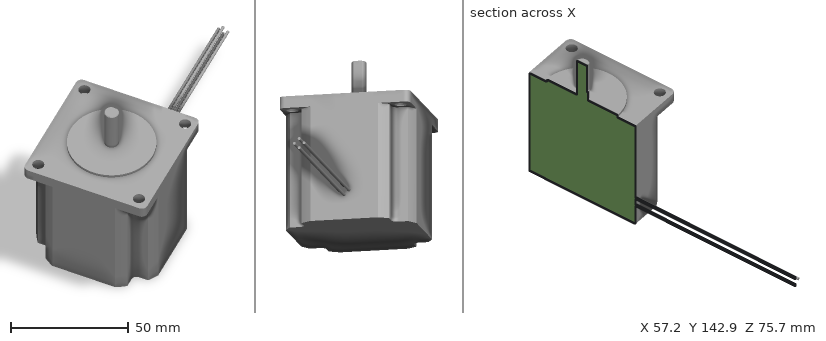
import cadquery as cq
import math


side = 57.2
body_height = 50.2
body_round_diameter = 64.3
flange_top = 55.3
flange_corner_radius = 2.6

notch_wall = 19.1
notch_fillet_radius = 2.5

hole_spacing = 47.2
hole_diameter = 5.1

pilot_diameter = 38.1
pilot_top = 56.6
shaft_diameter = 6.3
shaft_top = 75.7
flat_bottom = 61.0
flat_depth = 0.6
tip_chamfer = 0.3

wire_diameter = 1.27
wire_end = 114.3
wire_center_height = 12.7
wire_offset_x = 2.1
wire_offset_z = 2.0
wire_embed = 1.5


def make_body():
    """Square body with corners turned round and notched for the screws."""
    square = cq.Workplane("XY").rect(side, side).extrude(body_height)
    round_bar = cq.Workplane("XY").circle(body_round_diameter / 2).extrude(body_height)
    body = square.intersect(round_bar)
    notch_size = side / 2
    notch_center = notch_wall + notch_size / 2
    for sx in (-1, 1):
        for sy in (-1, 1):
            notch = (
                cq.Workplane("XY")
                .center(sx * notch_center, sy * notch_center)
                .rect(notch_size, notch_size)
                .extrude(body_height)
                .edges("|Z")
                .fillet(notch_fillet_radius)
            )
            body = body.cut(notch)
    return body


def make_flange():
    """Square mounting plate with rounded corners and four through holes."""
    return (
        cq.Workplane("XY", origin=(0, 0, body_height))
        .rect(side, side)
        .extrude(flange_top - body_height)
        .edges("|Z")
        .fillet(flange_corner_radius)
        .faces(">Z")
        .workplane()
        .rect(hole_spacing, hole_spacing, forConstruction=True)
        .vertices()
        .hole(hole_diameter)
    )


def make_pilot():
    return (
        cq.Workplane("XY", origin=(0, 0, flange_top))
        .circle(pilot_diameter / 2)
        .extrude(pilot_top - flange_top)
    )


def make_shaft():
    """Round shaft with a chamfered tip and a +Y flat that runs out at the tip."""
    radius = shaft_diameter / 2
    shaft = (
        cq.Workplane("XY", origin=(0, 0, pilot_top))
        .circle(radius)
        .extrude(shaft_top - pilot_top)
        .faces(">Z")
        .chamfer(tip_chamfer)
    )
    flat_cut = (
        cq.Workplane("XY", origin=(0, radius - flat_depth / 2, flat_bottom))
        .rect(shaft_diameter, flat_depth)
        .extrude(shaft_top - flat_bottom)
    )
    return shaft.cut(flat_cut)


def make_wire(index):
    """One wire at a corner of the diamond, rooted inside the body."""
    angle = index * math.pi / 2
    x = wire_offset_x * math.cos(angle)
    z = wire_center_height + wire_offset_z * math.sin(angle)
    start = side / 2 - wire_embed
    return cq.Workplane("XY").add(
        cq.Solid.makeCylinder(
            wire_diameter / 2, wire_end - start, cq.Vector(x, start, z), cq.Vector(0, 1, 0)
        )
    )


result = make_body().union(make_flange()).union(make_pilot()).union(make_shaft())
for wire_index in range(4):
    result = result.union(make_wire(wire_index))